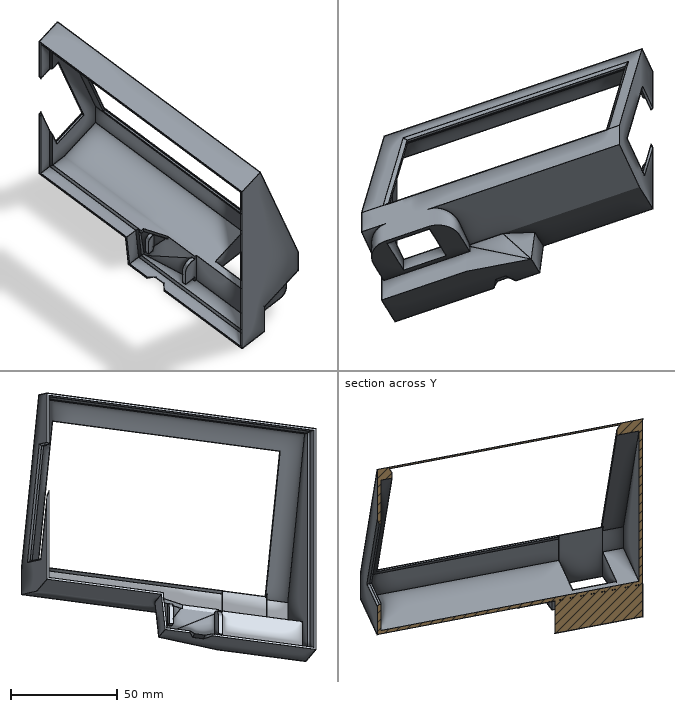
import cadquery as cq
import math

WIDTH = 133.3
DEPTH = 37.7
HEIGHT = 116.7
TILT = 18.0
RIDGE_Y = 12.3
FLOOR_Z = 17.7
FLOOR_BEND_Y = 15.0

WALL = 2.0
RIM_WALL = WALL / 2
RIM_DEPTH = 6.0
BEVEL_END = RIM_DEPTH + WALL - RIM_WALL

PORT_TOP_X = 56.6
PORT_BOTTOM_X = 58.5
PORT_SIDE_Y = 9.6
PORT_BACK_Y = 15.2
PORT_BEND_X = 70.6
PORT_STEP_X = 89.3
CORNER_SIDE_Y = 8.0
CORNER_END_X = 88.4
LEDGE_LEFT_X = 60.1
LEDGE_SIDE_Y = 8.7
LEDGE_BEND_X = 71.5

WINDOW_LEFT = 5.6
WINDOW_RIGHT = 122.1
WINDOW_HEIGHT = 72.6
WINDOW_BEVEL = 1.9
BEVEL_DEPTH = WALL / 2

SIDE_WINDOW_Y = 28.9
SIDE_WINDOW_Z = 37.8
SIDE_WINDOW_WIDTH = 20.5
SIDE_WINDOW_LENGTH = 56.2
SIDE_WINDOW_BEVEL = 0.8

CHUTE_X = 98.9
CHUTE_WIDTH = 22.0
CHUTE_FRONT_Y = 17.3
CHUTE_BACK_Y = 36.0
CHUTE_TOP_Z = 40.8
BOSS_BOTTOM_Z = 13.0
BOSS_RADIUS = 11.2

TAB_FRONT_Y = BEVEL_END
FIXED_TAB_X = PORT_STEP_X - WALL
FIXED_TAB_BOTTOM_Z = 4.7
FIXED_TAB_RADIUS = 4.7
LOOSE_TAB_X = 62.9
LOOSE_TAB_BOTTOM_Z = 6.7
LOOSE_TAB_RADIUS = 3.0

NOTCH_X = 76.5
NOTCH_HALF_FRONT = 5.6
NOTCH_HALF_BACK = 2.7
NOTCH_DEPTH_TOP = 2.5
NOTCH_DEPTH_BOTTOM = 4.8

SIN = math.sin(math.radians(TILT))
COS = math.cos(math.radians(TILT))
TAN = SIN / COS
FRONT_TOP_Z = HEIGHT - RIDGE_Y * TAN
FACE_BOTTOM_Z = HEIGHT - (DEPTH - RIDGE_Y) / TAN
FLOOR_BACK_Z = FLOOR_Z + (DEPTH - FLOOR_BEND_Y) * TAN
PORT_INNER_BACK_Y = PORT_BACK_Y - WALL


def box(x0, x1, y0, y1, z0, z1):
    """Box between two opposite corners."""
    size = (x1 - x0, y1 - y0, z1 - z0)
    return cq.Workplane("XY").box(*size, centered=False).translate((x0, y0, z0))


def case_profile():
    """Closed side outline of the case, without the port box."""
    return cq.Workplane("YZ").polyline([
        (0, FLOOR_Z),
        (FLOOR_BEND_Y, FLOOR_Z),
        (DEPTH, FLOOR_BACK_Z),
        (DEPTH, FACE_BOTTOM_Z),
        (RIDGE_Y, HEIGHT),
        (0, FRONT_TOP_Z),
    ]).close()


def twisted_block(top_x, bottom_x, front_y, side_y, back_y, end_x):
    """Block from z = 0 to the floor whose back left corner is diagonal at the top, twisting lower down."""
    top = [(top_x, front_y), (top_x, side_y), (PORT_BEND_X, back_y), (end_x, back_y), (end_x, front_y)]
    bottom = [(bottom_x, front_y), (bottom_x, side_y), (end_x, back_y), (end_x, front_y)]
    points = [(x, y, FLOOR_Z) for x, y in top] + [(x, y, 0) for x, y in bottom]
    sides = [(0, 1, 6, 5), (1, 2, 6), (2, 3, 6), (3, 7, 6), (3, 4, 8, 7), (4, 0, 5, 8)]
    faces = []
    for corners in [(0, 1, 2, 3, 4), (5, 6, 7, 8)] + sides:
        wire = cq.Wire.makePolygon([points[i] for i in corners], close=True)
        faces.append(cq.Face.makeFromWires(wire))
    return cq.Workplane(cq.Solid.makeSolid(cq.Shell.makeShell(faces)))


def front_outline(y, inset):
    """Front outline of case and port box at depth y, shrunk by inset."""
    def port_left(z):
        return PORT_BOTTOM_X + (PORT_TOP_X - PORT_BOTTOM_X) * z / FLOOR_Z + inset

    floor_z = FLOOR_Z + inset
    top_z = FRONT_TOP_Z + y * TAN - inset / COS
    corners = [
        (inset, floor_z),
        (port_left(floor_z), floor_z),
        (port_left(inset), inset),
        (WIDTH - inset, inset),
        (WIDTH - inset, top_z),
        (inset, top_z),
    ]
    return cq.Wire.makePolygon([(x, y, z) for x, z in corners], close=True)


def front_cavity(y0, inset0, y1, inset1):
    """Opening between two depths, each with its own inset from the outer outline."""
    outlines = [front_outline(y0, inset0), front_outline(y1, inset1)]
    return cq.Workplane(cq.Solid.makeLoft(outlines, True))


def bevelled_window(plane, x0, width, height, bevel):
    """Window cutter whose outer edges are bevelled; plane points into the wall."""
    outer = cq.Workplane(plane).center(x0 + width / 2, height / 2)
    inner_size = (width - 2 * bevel, height - 2 * bevel)
    mouth = outer.rect(width, height).workplane(offset=BEVEL_DEPTH).rect(*inner_size).loft(ruled=True)
    return mouth.union(outer.rect(*inner_size).extrude(2 * WALL))


def display_window():
    plane = cq.Plane(origin=(0, DEPTH, FACE_BOTTOM_Z), xDir=(1, 0, 0), normal=(0, -COS, -SIN))
    width = WINDOW_RIGHT - WINDOW_LEFT
    return bevelled_window(plane, WINDOW_LEFT, width, WINDOW_HEIGHT, WINDOW_BEVEL)


def side_window():
    plane = cq.Plane(origin=(0, SIDE_WINDOW_Y, SIDE_WINDOW_Z), xDir=(0, COS, SIN), normal=(1, 0, 0))
    return bevelled_window(
        plane, -SIDE_WINDOW_WIDTH, SIDE_WINDOW_WIDTH, SIDE_WINDOW_LENGTH, SIDE_WINDOW_BEVEL)


def port_cavity():
    """Space in the port box behind the bevel."""
    thin_back_y = PORT_BACK_Y - RIM_WALL
    wide = box(PORT_STEP_X, WIDTH - WALL, RIM_DEPTH, thin_back_y, WALL, FLOOR_Z + WALL)
    pillar = box(CORNER_END_X, PORT_STEP_X, RIM_DEPTH, PORT_INNER_BACK_Y, WALL, FLOOR_Z)
    ledge = cq.Workplane("XY").workplane(offset=FLOOR_Z).polyline([
        (LEDGE_LEFT_X, BEVEL_END),
        (LEDGE_LEFT_X, LEDGE_SIDE_Y),
        (LEDGE_BEND_X, PORT_INNER_BACK_Y),
        (PORT_STEP_X, PORT_INNER_BACK_Y),
        (PORT_STEP_X, BEVEL_END),
    ]).close().extrude(WALL)
    corner = twisted_block(
        PORT_TOP_X + WALL, PORT_BOTTOM_X, RIM_DEPTH, CORNER_SIDE_Y, PORT_INNER_BACK_Y, CORNER_END_X)
    corner = corner.intersect(front_cavity(BEVEL_END, WALL, PORT_BACK_Y, WALL))
    return wide.union(pillar).union(ledge).union(corner)


def chute():
    return box(CHUTE_X, CHUTE_X + CHUTE_WIDTH, CHUTE_FRONT_Y, CHUTE_BACK_Y, 0, CHUTE_TOP_Z)


def boss():
    left = CHUTE_X - BOSS_RADIUS
    right = CHUTE_X + CHUTE_WIDTH + BOSS_RADIUS
    block = box(left, right, PORT_BACK_Y, DEPTH, BOSS_BOTTOM_Z, FLOOR_BACK_Z)
    return block.edges("|Z and >Y").fillet(BOSS_RADIUS)


def tab(x, bottom_z, radius):
    """Upright tab with a rounded top front edge, reaching back into the port wall."""
    blank = box(x, x + WALL, TAB_FRONT_Y, PORT_BACK_Y - RIM_WALL, bottom_z, FLOOR_Z)
    return blank.edges("|X and <Y and >Z").fillet(radius)


def pry_notch():
    def outline(depth, z):
        corners = [
            (NOTCH_X - NOTCH_HALF_FRONT, 0),
            (NOTCH_X - NOTCH_HALF_BACK, depth),
            (NOTCH_X + NOTCH_HALF_BACK, depth),
            (NOTCH_X + NOTCH_HALF_FRONT, 0),
        ]
        return cq.Wire.makePolygon([(x, y, z) for x, y in corners], close=True)

    outlines = [outline(NOTCH_DEPTH_BOTTOM, 0), outline(NOTCH_DEPTH_TOP, RIM_WALL)]
    return cq.Workplane(cq.Solid.makeLoft(outlines, True))


def make_housing():
    body = case_profile().extrude(WIDTH)
    body = body.union(twisted_block(
        PORT_TOP_X, PORT_BOTTOM_X, 0, PORT_SIDE_Y, PORT_BACK_Y, PORT_STEP_X))
    body = body.union(box(PORT_STEP_X, WIDTH, 0, PORT_BACK_Y, 0, FLOOR_Z))
    body = body.union(boss())

    body = body.cut(front_cavity(0, RIM_WALL, RIM_DEPTH, RIM_WALL))
    body = body.cut(front_cavity(RIM_DEPTH, RIM_WALL, BEVEL_END, WALL))
    interior = case_profile().offset2D(-WALL).extrude(WIDTH - 2 * WALL).translate((WALL, 0, 0))
    body = body.cut(interior).cut(port_cavity())

    for opening in (display_window(), side_window(), chute(), pry_notch()):
        body = body.cut(opening)

    return body.union(tab(FIXED_TAB_X, FIXED_TAB_BOTTOM_Z, FIXED_TAB_RADIUS))


def make_loose_tab():
    """Separate tab whose back fits against the twisted corner of the port box."""
    return tab(LOOSE_TAB_X, LOOSE_TAB_BOTTOM_Z, LOOSE_TAB_RADIUS).intersect(port_cavity())


housing = make_housing()
loose_tab = make_loose_tab()
result = cq.Compound.makeCompound([housing.solids().val(), loose_tab.solids().val()])